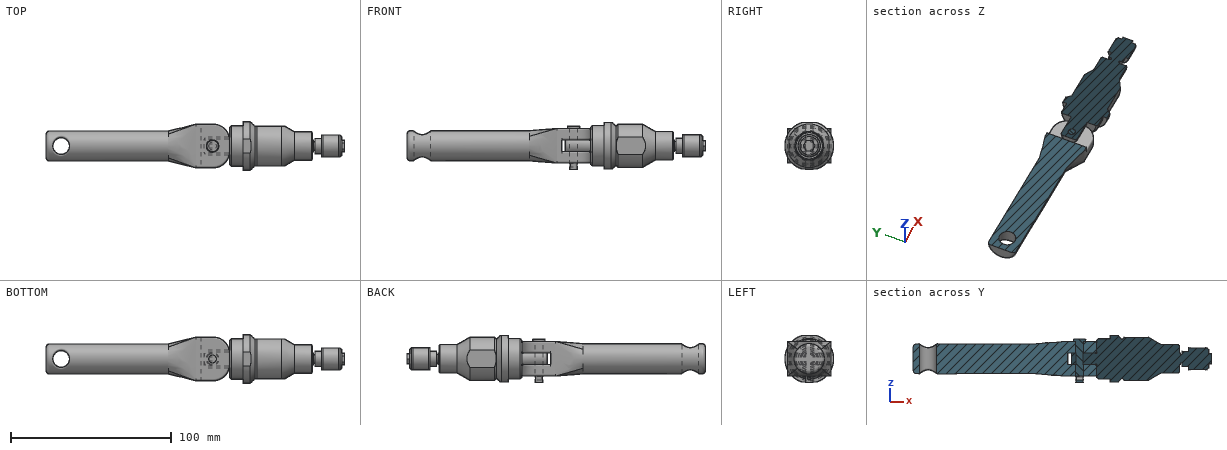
import cadquery as cq
import math

tool_length = 185.8

bar_diameter = 19.0
bar_length = 76.2
bar_end_fillet = 2.5
hanging_hole_diameter = 10.2
hanging_hole_x = 9.5
hanging_hole_fillet = 1.0
clevis_start = 93.5
clevis_end = 114.2
clevis_width = 27.3
clevis_height = 21.7
clevis_corner_diameter = 20.2
clevis_edge_fillet = 1.1
slot_start = 96.4
slot_height = 7.0

pin_x = 103.6
pin_diameter = 4.8
pin_bottom = -14.9
pin_head_diameter = 7.8
pin_head_height = 1.5
pin_head_chamfer = 0.4
cotter_hole_diameter = 2.2
cotter_hole_z = -12.0

tongue_diameter = 11.1
tongue_start = 98.5
tongue_end_fillet = 1.9

collar_start = 114.2
collar_radius = 12.6
collar_chamfer = 1.1
flange_start = 122.6
flange_radius = 15.2
flange_flat_width = 29.2
flange_cone_start = 127.0

groove_x = 130.0
groove_radius = 12.3
nut_radius = 13.5
nut_end = 146.5
nut_flat_width = 24.9
nose_start = 154.5
nose_radius = 9.0
nose_end = 165.9
nose_chamfer = 0.7

seat_radius = 3.7
seat_end = 166.5
neck_radius = 2.8
neck_end = 167.4
shank_radius = 4.8
tip_start = 171.3
tip_radius = 6.9
band_start = 172.4
band_end = 181.8
band_diameter = 14.0
tip_end = 184.0
tip_chamfer = 1.1
hex_across_corners = 7.2


def cylinder_along_x(start, end, radius):
    """Solid cylinder on the X axis from start to end."""
    return cq.Workplane("YZ", origin=(start, 0, 0)).circle(radius).extrude(end - start)


def cylinder_along_z(x, bottom, top, radius):
    """Solid vertical cylinder centred at the given X."""
    return cq.Workplane("XY", origin=(x, 0, bottom)).circle(radius).extrude(top - bottom)


def box_along_x(start, end, width, height):
    """Box centred on the X axis from start to end."""
    box = cq.Workplane("XY").box(end - start, width, height, centered=(False, True, True))
    return box.translate((start, 0, 0))


def make_bar():
    """Round bar with a rounded end and a hanging hole with rounded rims."""
    bar = cylinder_along_x(0, bar_length, bar_diameter / 2)
    bar = bar.faces("<X").edges().fillet(bar_end_fillet)
    hole = cylinder_along_z(hanging_hole_x, -bar_diameter, bar_diameter, hanging_hole_diameter / 2)
    return bar.cut(hole).edges("%BSPLINE").fillet(hanging_hole_fillet)


def make_taper():
    """Transition from the round bar to the rectangular clevis section."""
    radius = bar_diameter / 2
    corner_angle = math.atan2(clevis_height, clevis_width)
    corner_y = radius * math.cos(corner_angle)
    corner_z = radius * math.sin(corner_angle)
    round_section = (
        cq.Workplane("YZ", origin=(bar_length, 0, 0))
        .moveTo(corner_y, corner_z)
        .threePointArc((0, radius), (-corner_y, corner_z))
        .threePointArc((-radius, 0), (-corner_y, -corner_z))
        .threePointArc((0, -radius), (corner_y, -corner_z))
        .threePointArc((radius, 0), (corner_y, corner_z))
        .close()
    )
    half_width = clevis_width / 2
    half_height = clevis_height / 2
    corners = [
        (half_width, half_height),
        (-half_width, half_height),
        (-half_width, -half_height),
        (half_width, -half_height),
    ]
    clevis_section = cq.Workplane("YZ", origin=(clevis_start, 0, 0)).polyline(corners).close()
    wires = [round_section.val(), clevis_section.val()]
    return cq.Workplane(cq.Solid.makeLoft(wires, True))


def make_clevis():
    """Slotted fork whose two cheeks have rounded corners and edges."""
    clevis = box_along_x(clevis_start, clevis_end, clevis_width, clevis_height)
    clevis = clevis.edges("|Z and >X").fillet(clevis_corner_diameter / 2)
    clevis = clevis.faces("<Z or >Z").edges("not <X").fillet(clevis_edge_fillet)
    clevis = clevis.cut(box_along_x(slot_start, clevis_end, clevis_width, slot_height))
    for slot_face in (slot_height / 2, -slot_height / 2):
        rim = cq.selectors.BoxSelector(
            (slot_start + clevis_edge_fillet, -clevis_width, slot_face - clevis_edge_fillet / 2),
            (clevis_end + clevis_edge_fillet, clevis_width, slot_face + clevis_edge_fillet / 2),
        )
        clevis = clevis.edges(rim).fillet(clevis_edge_fillet)
    return clevis


def make_handle():
    """Bar, taper and clevis in one piece, drilled for the hinge pin."""
    handle = make_bar().union(make_taper()).union(make_clevis())
    return handle.cut(cylinder_along_z(pin_x, -clevis_height, clevis_height, pin_diameter / 2))


def make_pin():
    """Headed hinge pin with a cotter hole across its lower end."""
    head_bottom = clevis_height / 2
    pin = cylinder_along_z(pin_x, pin_bottom, head_bottom, pin_diameter / 2)
    pin_head = cylinder_along_z(
        pin_x, head_bottom, head_bottom + pin_head_height, pin_head_diameter / 2
    )
    pin_head = pin_head.faces(">Z").edges().chamfer(pin_head_chamfer)
    cotter_hole = cylinder_along_x(pin_x - pin_diameter, pin_x + pin_diameter, cotter_hole_diameter / 2)
    return pin.union(pin_head).cut(cotter_hole.translate((0, 0, cotter_hole_z)))


def make_tongue():
    """Round rod with a rounded end, flattened to fill the slot and drilled for the pin."""
    tongue = cylinder_along_x(tongue_start, collar_start, tongue_diameter / 2)
    tongue = tongue.faces("<X").edges().fillet(tongue_end_fillet)
    tongue = tongue.intersect(box_along_x(tongue_start, collar_start, tongue_diameter, slot_height))
    return tongue.cut(cylinder_along_z(pin_x, -slot_height, slot_height, pin_diameter / 2))


def make_head_core():
    """Turned part of the head, from the collar to the banded tip."""
    profile = [
        (collar_start, 0),
        (collar_start, collar_radius - collar_chamfer),
        (collar_start + collar_chamfer, collar_radius),
        (flange_start, collar_radius),
        (flange_start, flange_radius),
        (flange_cone_start, flange_radius),
        (groove_x, groove_radius),
        (groove_x + nut_radius - groove_radius, nut_radius),
        (nut_end, nut_radius),
        (nose_start, nose_radius),
        (nose_end - nose_chamfer, nose_radius),
        (nose_end, nose_radius - nose_chamfer),
        (nose_end, seat_radius),
        (seat_end, seat_radius),
        (seat_end, neck_radius),
        (neck_end, neck_radius),
        (neck_end, shank_radius),
        (tip_start, shank_radius),
        (tip_start, tip_radius),
        (band_start, tip_radius),
        (band_start, band_diameter / 2),
        (band_end, band_diameter / 2),
        (band_end, tip_radius),
        (tip_end - tip_chamfer, tip_radius),
        (tip_end, tip_radius - tip_chamfer),
        (tip_end, 0),
    ]
    return cq.Workplane("XY").polyline(profile).close().revolve(360, (0, 0, 0), (1, 0, 0))


def cut_flats(core):
    """Two flats on the flange facing up and down, two on the nut facing sideways."""
    reach = 2 * flange_radius
    flange_keep = box_along_x(collar_start, groove_x, reach, flange_flat_width)
    rear_keep = box_along_x(groove_x, tip_end, nut_flat_width, reach)
    return core.intersect(flange_keep.union(rear_keep))


def make_hex_end():
    """Hexagonal stub at the tip with two corners pointing sideways."""
    stub = cq.Workplane("YZ", origin=(tip_end, 0, 0)).polygon(6, hex_across_corners)
    return stub.extrude(tool_length - tip_end)


def make_head():
    """Tongue, collar, nut, nose and tip in one piece."""
    return cut_flats(make_head_core()).union(make_tongue()).union(make_hex_end())


handle = make_handle()
pin = make_pin()
head = make_head()

result = cq.Compound.makeCompound([handle.solids().val(), pin.solids().val(), head.solids().val()])